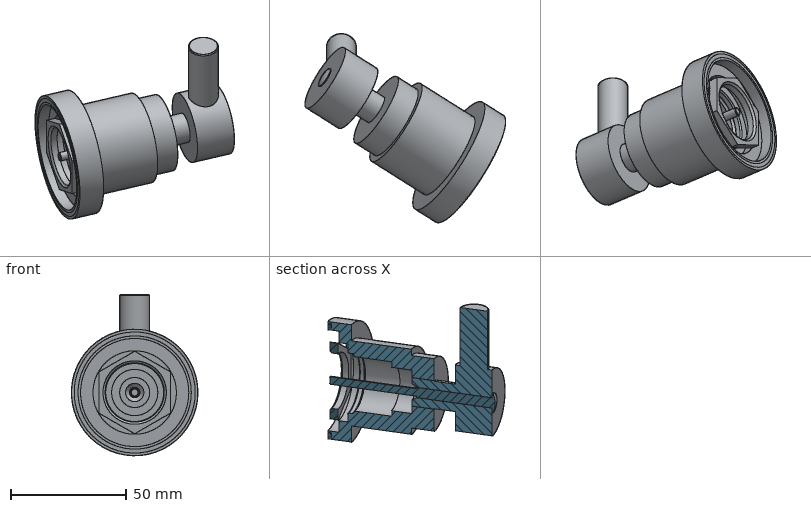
import cadquery as cq


FLANGE_DIAMETER = 55.0
FLANGE_RADIUS = FLANGE_DIAMETER / 2
FLANGE_END = 11.05
BARREL_RADIUS = 20.0
BARREL_END = 39.0
COLLAR_RADIUS = 17.0
COLLAR_END = 49.5

RECESS_RADIUS = 23.5
RECESS_DEPTH = 5.0
COUNTERBORE_RADIUS = 18.1
COUNTERBORE_DEPTH = 9.1
ENTRY_RADIUS = 13.85
ENTRY_CHAMFER = 0.6
ENTRY_END = 11.7
BORE_RADIUS = 12.6
BORE_TAPER = 0.9
BORE_END = 29.6
INNER_BORE_RADIUS = 10.0

GROOVE_INNER_RADIUS = 24.6
GROOVE_OUTER_RADIUS = 26.3
GROOVE_DEPTH = 1.55

NUT_ACROSS_FLATS = 31.05
NUT_FRONT = 0.9
NUT_THICKNESS = 3.8
NUT_BORE_RADIUS = 12.8
NUT_CHAMFER = 0.9

SHAFT_RADIUS = 6.5
HEAD_RADIUS = 15.5
HEAD_START = 59.2
HEAD_END = 76.4
LEVER_RADIUS = 6.5
OVERALL_HEIGHT = 70.1
LEVER_TOP = OVERALL_HEIGHT - FLANGE_RADIUS
LEVER_CHAMFER = 0.5
LEVER_Y = (HEAD_START + HEAD_END) / 2
COUNTERSINK_RADIUS = 3.65
COUNTERSINK_CHAMFER = 0.3
COUNTERSINK_DEPTH = 2.3
COUNTERSINK_END = BARREL_END + COUNTERSINK_DEPTH

PIN_SHANK_RADIUS = 2.25
PIN_NOSE_RADIUS = 1.9
PIN_TIP = 0.8
PIN_CHAMFER = 0.4
PIN_HEAD_RADIUS = 4.5
PIN_HEAD_RIM = 0.4
PIN_END = 77.8


def rod(radius, start, end):
    """Cylinder on the main axis between two Y positions."""
    return cq.Workplane("XZ", origin=(0, start, 0)).circle(radius).extrude(start - end)


def ring(inner_radius, outer_radius, start, end):
    """Tube on the main axis between two Y positions."""
    return rod(outer_radius, start, end).cut(rod(inner_radius, start, end))


def turned(profile):
    """Solid of revolution about the main axis from (radius, Y) points."""
    return cq.Workplane("XY").polyline(profile).close().revolve(360, (0, 0, 0), (0, 1, 0))


def make_housing():
    profile = [
        (RECESS_RADIUS, 0),
        (FLANGE_RADIUS, 0),
        (FLANGE_RADIUS, FLANGE_END),
        (BARREL_RADIUS, FLANGE_END),
        (BARREL_RADIUS, BARREL_END),
        (COLLAR_RADIUS, BARREL_END),
        (COLLAR_RADIUS, COLLAR_END),
        (SHAFT_RADIUS, COLLAR_END),
        (SHAFT_RADIUS, BARREL_END),
        (INNER_BORE_RADIUS, BARREL_END),
        (INNER_BORE_RADIUS, BORE_END),
        (BORE_RADIUS, BORE_END),
        (BORE_RADIUS, ENTRY_END + BORE_TAPER),
        (BORE_RADIUS + BORE_TAPER, ENTRY_END),
        (ENTRY_RADIUS, ENTRY_END),
        (ENTRY_RADIUS, COUNTERBORE_DEPTH + ENTRY_CHAMFER),
        (ENTRY_RADIUS + ENTRY_CHAMFER, COUNTERBORE_DEPTH),
        (COUNTERBORE_RADIUS, COUNTERBORE_DEPTH),
        (COUNTERBORE_RADIUS, RECESS_DEPTH),
        (RECESS_RADIUS, RECESS_DEPTH),
    ]
    return turned(profile).cut(ring(GROOVE_INNER_RADIUS, GROOVE_OUTER_RADIUS, 0, GROOVE_DEPTH))


def make_gasket():
    return ring(GROOVE_INNER_RADIUS, GROOVE_OUTER_RADIUS, 0, GROOVE_DEPTH)


def make_nut():
    nut = (
        cq.Workplane("XZ", origin=(0, NUT_FRONT, 0))
        .polygon(6, NUT_ACROSS_FLATS, circumscribed=True)
        .extrude(-NUT_THICKNESS)
    )
    nut = nut.cut(rod(NUT_BORE_RADIUS, NUT_FRONT, NUT_FRONT + NUT_THICKNESS))
    return nut.faces("<Y").edges("%CIRCLE").chamfer(NUT_CHAMFER)


def make_handle():
    shaft = rod(SHAFT_RADIUS, BARREL_END, HEAD_START)
    head = rod(HEAD_RADIUS, HEAD_START, HEAD_END)
    lever = (
        cq.Workplane("XY", origin=(0, LEVER_Y, 0))
        .circle(LEVER_RADIUS)
        .extrude(LEVER_TOP)
        .faces(">Z")
        .chamfer(LEVER_CHAMFER)
    )
    countersunk_hole = turned([
        (0, BARREL_END),
        (COUNTERSINK_RADIUS + COUNTERSINK_CHAMFER, BARREL_END),
        (COUNTERSINK_RADIUS, BARREL_END + COUNTERSINK_CHAMFER),
        (PIN_SHANK_RADIUS, COUNTERSINK_END),
        (PIN_SHANK_RADIUS, HEAD_END),
        (0, HEAD_END),
    ])
    return shaft.union(head).union(lever).cut(countersunk_hole)


def make_pin():
    shoulder = PIN_SHANK_RADIUS - PIN_NOSE_RADIUS
    rim_end = HEAD_END + PIN_HEAD_RIM
    dome_rise = PIN_END - rim_end
    dome_radius = (PIN_HEAD_RADIUS**2 + dome_rise**2) / (2 * dome_rise)
    mid_radius = PIN_HEAD_RADIUS / 2
    mid_y = PIN_END - dome_radius + (dome_radius**2 - mid_radius**2) ** 0.5
    return (
        cq.Workplane("XY")
        .moveTo(0, PIN_TIP)
        .lineTo(PIN_NOSE_RADIUS - PIN_CHAMFER, PIN_TIP)
        .lineTo(PIN_NOSE_RADIUS, PIN_TIP + PIN_CHAMFER)
        .lineTo(PIN_NOSE_RADIUS, COUNTERSINK_END - shoulder)
        .lineTo(PIN_SHANK_RADIUS, COUNTERSINK_END)
        .lineTo(PIN_SHANK_RADIUS, HEAD_END)
        .lineTo(PIN_HEAD_RADIUS, HEAD_END)
        .lineTo(PIN_HEAD_RADIUS, rim_end)
        .threePointArc((mid_radius, mid_y), (0, PIN_END))
        .close()
        .revolve(360, (0, 0, 0), (0, 1, 0))
    )


housing = make_housing()
gasket = make_gasket()
nut = make_nut()
handle = make_handle()
pin = make_pin()

result = cq.Compound.makeCompound([
    housing.val(),
    gasket.val(),
    nut.val(),
    handle.val(),
    pin.val(),
])